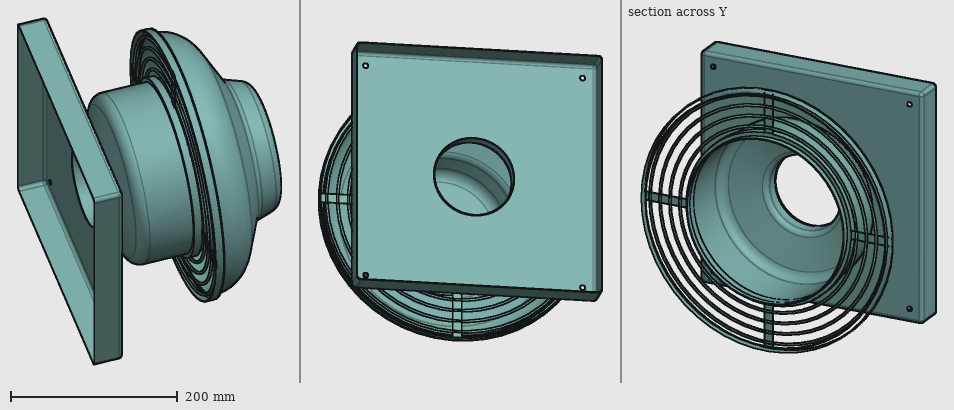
import cadquery as cq
import math


SHEET = 1.0

BASE_SIDE = 299.8
BASE_DEPTH = 36.2
BASE_ROUND = 5.0
SCREW_SPACING = 264.5
SCREW_DIAMETER = 6.0

NECK_RADIUS = 49.2
NECK_BLEND = 7.5
DRUM_RADIUS = 106.2
DRUM_ROUND = 15.0
DRUM_CORNER_Y = 72.5
DRUM_BACK = 157.5
DRUM_CONE_ANGLE = 15

FLANGE_RADIUS = 111.2
FLANGE_FRONT = 138.7
RIM_RADIUS = 167.5
RIM_FRONT = 147.7
RIM_BACK = 158.8
OUTER_RING_RADIUS = 159.0
RING_PITCH = 13.5
RING_COUNT = 4
WIRE_RADIUS = 1.5
SPOKE_WIDTH = 11.0
SPOKE_COUNT = 4

DOME_RADIUS = 162.0
DOME_FRONT = 157.0
DOME_ROUND = 50.2
DOME_CORNER_Y = 189.5
WAIST_RADIUS = 88.8
WAIST_Y = 227.0
WAIST_BLEND = 11.7
CROWN_RADIUS = 77.5
CROWN_ROUND = 15.0
TOTAL_DEPTH = 262.0


def revolve_rounded(corners):
    """Solid of revolution about Y from (radius, y, corner rounding) points that start and end on the axis."""
    profile = cq.Workplane("XY").moveTo(*corners[0][:2])
    for before, corner, after in zip(corners, corners[1:], corners[2:]):
        tip = cq.Vector(*corner[:2])
        rounding = corner[2]
        if rounding == 0:
            profile = profile.lineTo(tip.x, tip.y)
            continue
        to_before = (cq.Vector(*before[:2]) - tip).normalized()
        to_after = (cq.Vector(*after[:2]) - tip).normalized()
        half_angle = to_before.getAngle(to_after) / 2
        setback = rounding / math.tan(half_angle)
        start = tip + to_before * setback
        end = tip + to_after * setback
        tip_to_arc = rounding / math.sin(half_angle) - rounding
        middle = tip + (to_before + to_after).normalized() * tip_to_arc
        profile = profile.lineTo(start.x, start.y)
        profile = profile.threePointArc((middle.x, middle.y), (end.x, end.y))
    profile = profile.lineTo(*corners[-1][:2]).close()
    return profile.revolve(360, (0, 0, 0), (0, 1, 0))


def annulus(outer_radius, inner_radius, front, back):
    """Flat ring around the Y axis between two Y levels."""
    plane = cq.Workplane("XZ", origin=(0, front, 0))
    return plane.circle(outer_radius).circle(inner_radius).extrude(front - back)


def wire_ring(radius, level):
    """Round-wire ring around the Y axis, centred on one Y level."""
    section = cq.Workplane("XY").center(radius, level).circle(WIRE_RADIUS)
    return section.revolve(360, (-radius, 0, 0), (-radius, 1, 0))


def make_base():
    """Square tray with rounded edges, open toward -Y, with an inlet hole and four screw holes."""
    tray = cq.Workplane("XZ").rect(BASE_SIDE, BASE_SIDE).extrude(-BASE_DEPTH)
    tray = tray.edges("|Y or >Y").fillet(BASE_ROUND)
    tray = tray.faces("<Y").shell(-SHEET)
    inlet = cq.Workplane("XZ").circle(NECK_RADIUS - SHEET).extrude(-BASE_DEPTH)
    screws = (
        cq.Workplane("XZ")
        .rect(SCREW_SPACING, SCREW_SPACING, forConstruction=True)
        .vertices()
        .circle(SCREW_DIAMETER / 2)
        .extrude(-BASE_DEPTH)
    )
    return tray.cut(inlet).cut(screws)


def make_drum():
    """Thin neck that flares into the drum, open at both ends."""
    cone_rise = (DRUM_RADIUS - NECK_RADIUS) * math.tan(math.radians(DRUM_CONE_ANGLE))
    neck_start = BASE_DEPTH - SHEET
    body = revolve_rounded([
        (0, neck_start, 0),
        (NECK_RADIUS, neck_start, 0),
        (NECK_RADIUS, DRUM_CORNER_Y - cone_rise, NECK_BLEND),
        (DRUM_RADIUS, DRUM_CORNER_Y, DRUM_ROUND),
        (DRUM_RADIUS, DRUM_BACK, 0),
        (0, DRUM_BACK, 0),
    ])
    return body.faces("<Y or >Y").shell(-SHEET)


def make_dome():
    """Thin bell-shaped cover, open toward -Y."""
    body = revolve_rounded([
        (0, DOME_FRONT, 0),
        (DOME_RADIUS, DOME_FRONT, 0),
        (DOME_RADIUS, DOME_CORNER_Y, DOME_ROUND),
        (WAIST_RADIUS, WAIST_Y, WAIST_BLEND),
        (CROWN_RADIUS, TOTAL_DEPTH, CROWN_ROUND),
        (0, TOTAL_DEPTH, 0),
    ])
    return body.faces("<Y").shell(-SHEET)


def make_grille():
    """Drum flange, outer rim and concentric wire rings, joined by flat spokes."""
    flange = annulus(FLANGE_RADIUS, DRUM_RADIUS - SHEET, FLANGE_FRONT, RIM_FRONT + SHEET)
    rim = annulus(RIM_RADIUS, RIM_RADIUS - SHEET, RIM_FRONT, RIM_BACK)
    rim_floor = annulus(RIM_RADIUS, DOME_RADIUS - SHEET, RIM_BACK - SHEET, RIM_BACK)
    grille = flange.union(rim).union(rim_floor)

    spoke_length = RIM_RADIUS - SHEET / 2 - DRUM_RADIUS
    spoke = (
        cq.Workplane("XY", origin=(DRUM_RADIUS, RIM_FRONT, 0))
        .box(spoke_length, SHEET, SPOKE_WIDTH, centered=(False, False, True))
    )
    for index in range(SPOKE_COUNT):
        angle = index * 360 / SPOKE_COUNT
        grille = grille.union(spoke.rotate((0, 0, 0), (0, 1, 0), angle))

    ring_level = RIM_FRONT + WIRE_RADIUS + SHEET / 2
    for index in range(RING_COUNT):
        radius = OUTER_RING_RADIUS - index * RING_PITCH
        grille = grille.union(wire_ring(radius, ring_level))
    return grille


result = make_base().union(make_drum()).union(make_grille()).union(make_dome())